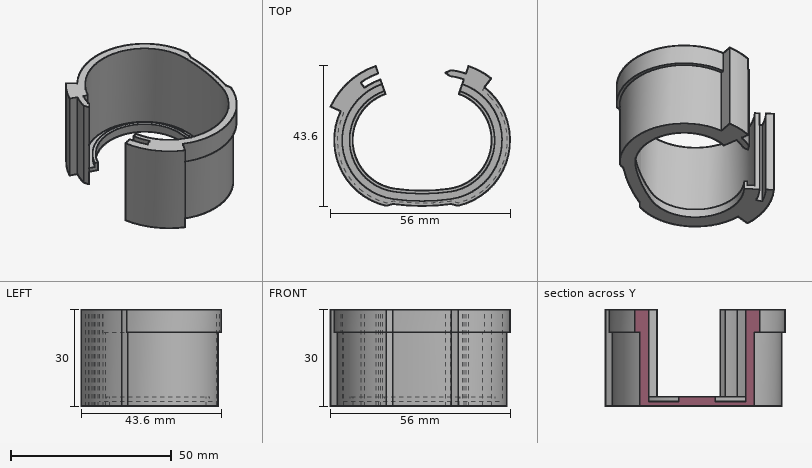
import cadquery as cq
import math

height = 30.0
collar_height = 7.05
lip_height = 3.0
groove_floor_height = 1.5

lobe_offset = 6.4
belly_bulge = 0.45
wall_inner_radius = 18.5
collar_outer_radius = 21.0
collar_step = 1.0
body_outer_radius = collar_outer_radius - collar_step
lip_outer_radius = 16.2
lip_inner_radius = 15.2

recess_depth = 0.95
recess_half_width = 9.05
recess_edge_half_width = 11.2

opening_angle = 19.2
clasp_outer_radius = 24.5
left_clasp_end_angle = 64.7
right_clasp_end_angle = 38.3
slot_inner_radius = 20.0
slot_outer_radius = 21.95
slot_end_angle = 35.3
tongue_shoulder_angle = 6.7
tongue_tip_angle = 2.2
tongue_root_overlap = 1.0

belly_center_y = (lobe_offset**2 - belly_bulge**2) / (2 * belly_bulge)
belly_extra_radius = belly_center_y + belly_bulge


def polar(side, radius, angle):
    """Point about one lobe centre; side is -1 (left) or 1 (right)."""
    turn = math.radians(angle)
    return (side * (lobe_offset + radius * math.sin(turn)), radius * math.cos(turn))


def belly_y(x, radius):
    """Y position on the belly arc belonging to a given lobe radius."""
    return belly_center_y - math.sqrt((radius + belly_extra_radius) ** 2 - x**2)


def oval(radius, bottom, top):
    """Solid bounded by the lobes and belly, with a straight-sided gap at the top."""
    belly_angle = 180 - math.degrees(math.atan2(lobe_offset, belly_center_y))
    mid_angle = (opening_angle + belly_angle) / 2
    return (
        cq.Workplane("XY", origin=(0, 0, bottom))
        .moveTo(0, 0)
        .lineTo(lobe_offset, 0)
        .lineTo(*polar(1, radius, opening_angle))
        .threePointArc(polar(1, radius, mid_angle), polar(1, radius, belly_angle))
        .threePointArc((0, belly_y(0, radius)), polar(-1, radius, belly_angle))
        .threePointArc(polar(-1, radius, mid_angle), polar(-1, radius, opening_angle))
        .lineTo(-lobe_offset, 0)
        .close()
        .extrude(top - bottom)
    )


def recessed_oval(radius, bottom, top):
    """Outer form: lobes that stop at a shallow recess across the front."""
    edge = (recess_edge_half_width, -math.sqrt(radius**2 - (recess_edge_half_width - lobe_offset) ** 2))
    floor_radius = radius - recess_depth
    floor = (recess_half_width, belly_y(recess_half_width, floor_radius))
    return (
        cq.Workplane("XY", origin=(0, 0, bottom))
        .moveTo(0, 0)
        .lineTo(lobe_offset, 0)
        .lineTo(*polar(1, radius, opening_angle))
        .threePointArc(polar(1, radius, 90), edge)
        .lineTo(*floor)
        .threePointArc((0, belly_y(0, floor_radius)), (-floor[0], floor[1]))
        .lineTo(-edge[0], edge[1])
        .threePointArc(polar(-1, radius, 90), polar(-1, radius, opening_angle))
        .lineTo(-lobe_offset, 0)
        .close()
        .extrude(top - bottom)
    )


def sector(side, inner, outer, start, end):
    """Full-height ring sector about one lobe centre."""
    middle = (start + end) / 2
    return (
        cq.Workplane("XY")
        .moveTo(*polar(side, inner, start))
        .lineTo(*polar(side, outer, start))
        .threePointArc(polar(side, outer, middle), polar(side, outer, end))
        .lineTo(*polar(side, inner, end))
        .threePointArc(polar(side, inner, middle), polar(side, inner, start))
        .close()
        .extrude(height)
    )


def tongue():
    """Pointed tongue on the right end, matching the slot in the left end."""
    root_angle = opening_angle + tongue_root_overlap
    mid_angle = (tongue_shoulder_angle + root_angle) / 2
    tip_radius = (slot_inner_radius + slot_outer_radius) / 2
    return (
        cq.Workplane("XY")
        .moveTo(*polar(1, slot_inner_radius, root_angle))
        .lineTo(*polar(1, slot_outer_radius, root_angle))
        .threePointArc(
            polar(1, slot_outer_radius, mid_angle), polar(1, slot_outer_radius, tongue_shoulder_angle)
        )
        .lineTo(*polar(1, tip_radius, tongue_tip_angle))
        .lineTo(*polar(1, slot_inner_radius, tongue_shoulder_angle))
        .threePointArc(
            polar(1, slot_inner_radius, mid_angle), polar(1, slot_inner_radius, root_angle)
        )
        .close()
        .extrude(height)
    )


band = recessed_oval(body_outer_radius, 0, height)
band = band.union(recessed_oval(collar_outer_radius, height - collar_height, height))

band = band.cut(oval(wall_inner_radius, lip_height, height))
groove = oval(wall_inner_radius, groove_floor_height, lip_height)
groove = groove.cut(oval(lip_outer_radius, groove_floor_height, lip_height))
band = band.cut(groove).cut(oval(lip_inner_radius, 0, lip_height))

left_clasp = sector(-1, wall_inner_radius, clasp_outer_radius, opening_angle, left_clasp_end_angle)
right_clasp = sector(1, wall_inner_radius, clasp_outer_radius, opening_angle, right_clasp_end_angle)
slot = sector(-1, slot_inner_radius, slot_outer_radius, opening_angle, slot_end_angle)
result = band.union(left_clasp).union(right_clasp).cut(slot).union(tongue())